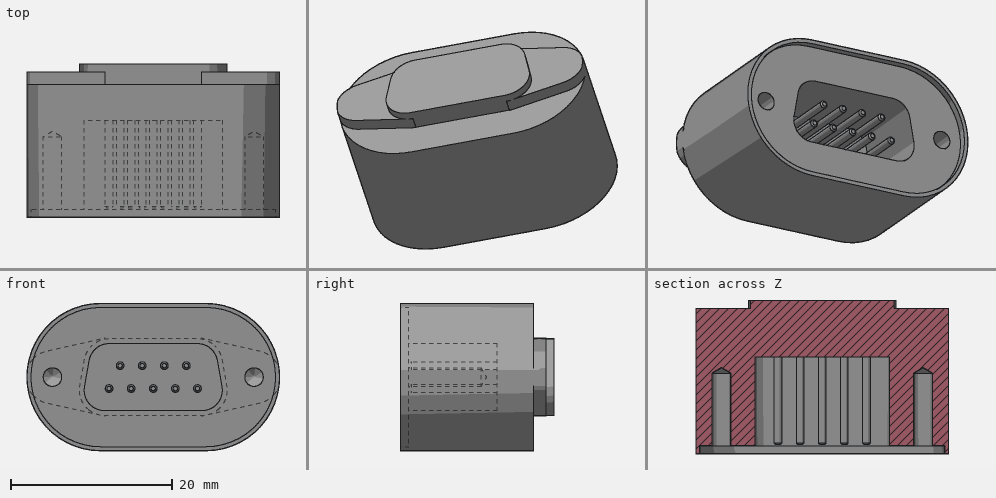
import cadquery as cq
import math


housing_width = 31.34
housing_height = 18.288
housing_depth = 16.51
rim_wall = 0.508
rim_depth = 1.0

opening_height = 8.32
opening_mid_width = 16.64
opening_radius = 2.54
side_slant = 10.0
opening_depth = 12.0
boss_offset = 0.6
boss_length = 2.54

hole_spacing = 24.99
hole_diameter = 2.3
hole_depth = 10.0
drill_point_angle = 118.0

flange_thickness = 1.524
flange_inner_x = 5.97
flange_half_height = 4.84
flange_tip_radius = 3.3

pin_diameter = 0.95
pin_chamfer = 0.2
pin_pitch = 2.74
row_spacing = 2.84
pin_tip_y = 1.15
upper_row_count = 4
lower_row_count = 5


def front_plane(y):
    """Sketch plane at depth y whose sketch axes are X and Z, extruding toward +Y for negative lengths."""
    return cq.Workplane("XZ", origin=(0, y, 0))


def stadium(width, height, y, depth):
    return front_plane(y).slot2D(width, height).extrude(-depth)


def d_prism(offset, y, depth):
    """D-shaped prism whose outline lies the given offset outside the opening."""
    slope = math.tan(math.radians(side_slant))
    half_height = opening_height / 2 + offset
    half_mid = opening_mid_width / 2 + offset / math.cos(math.radians(side_slant))
    half_top = half_mid - half_height * slope
    half_bottom = half_mid + half_height * slope
    outline = [
        (-half_top, half_height),
        (half_top, half_height),
        (half_bottom, -half_height),
        (-half_bottom, -half_height),
    ]
    prism = front_plane(y).polyline(outline).close().extrude(-depth)
    return prism.edges("|Y").fillet(opening_radius + offset)


def flange(side):
    """Flange with edges tangent to a round tip around the screw hole; side is -1 or 1.

    The tip is trimmed flush with the rounded end of the housing.
    """
    tip_x = hole_spacing / 2
    run = tip_x - flange_inner_x
    corner_angle = math.atan2(flange_half_height, run)
    slant = corner_angle - math.asin(flange_tip_radius / math.hypot(run, flange_half_height))
    tangent_x = side * (tip_x + flange_tip_radius * math.sin(slant))
    tangent_z = flange_tip_radius * math.cos(slant)
    inner_x = side * flange_inner_x
    blank = (
        front_plane(housing_depth)
        .moveTo(inner_x, -flange_half_height)
        .lineTo(tangent_x, -tangent_z)
        .threePointArc((side * (tip_x + flange_tip_radius), 0), (tangent_x, tangent_z))
        .lineTo(inner_x, flange_half_height)
        .close()
        .extrude(-flange_thickness)
    )
    return blank.intersect(stadium(housing_width, housing_height, housing_depth, flange_thickness))


def screw_hole(x):
    radius = hole_diameter / 2
    point_length = radius / math.tan(math.radians(drill_point_angle / 2))
    profile = [
        (0, 0),
        (radius, 0),
        (radius, hole_depth),
        (0, hole_depth + point_length),
    ]
    drill = cq.Workplane("XY").polyline(profile).close().revolve(360, (0, 0, 0), (0, 1, 0))
    return drill.translate((x, 0, 0))


def pin_row(count, z):
    first_x = -pin_pitch * (count - 1) / 2
    centers = [(first_x + i * pin_pitch, z) for i in range(count)]
    length = opening_depth - pin_tip_y
    pins = front_plane(pin_tip_y).pushPoints(centers).circle(pin_diameter / 2).extrude(-length)
    return pins.faces("<Y").chamfer(pin_chamfer)


body = stadium(housing_width, housing_height, 0, housing_depth)
body = body.cut(stadium(housing_width - 2 * rim_wall, housing_height - 2 * rim_wall, 0, rim_depth))

body = body.union(d_prism(boss_offset, housing_depth, boss_length))
for side in (-1, 1):
    body = body.union(flange(side))

body = body.cut(d_prism(0, 0, opening_depth))
for side in (-1, 1):
    body = body.cut(screw_hole(side * hole_spacing / 2))

body = body.union(pin_row(upper_row_count, row_spacing / 2))
body = body.union(pin_row(lower_row_count, -row_spacing / 2))

result = body